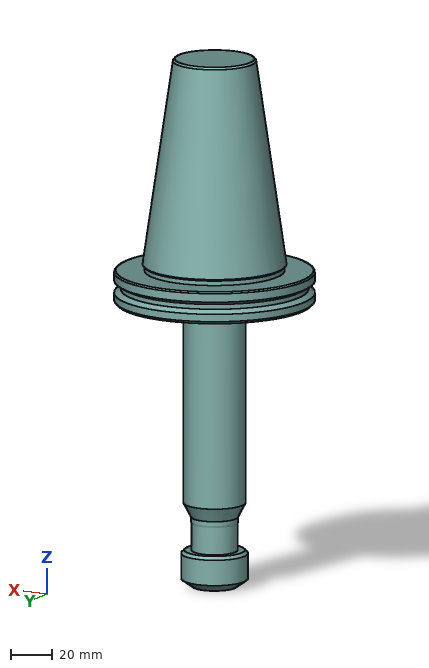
import cadquery as cq
import math

total_length = 261.8

gauge_radius = 34.95
taper_length = 101.8
taper_slope = 7 / 48
taper_tip_radius = gauge_radius - taper_length * taper_slope
tip_chamfer_height = 1.0
tip_chamfer_width = 0.8

relief_radius = 34.0
relief_height = 3.1
relief_chamfer = gauge_radius - relief_radius

flange_radius = 48.7
flange_thickness = 16.0
flange_top_chamfer = 0.8
flange_bottom_chamfer = 1.3
groove_radius = 45.5
groove_top_offset = 5.0
groove_bottom_offset = 11.0
groove_side_height = (flange_radius - groove_radius) * math.tan(math.radians(30))

shaft_radius = 15.2
shaft_bottom_z = 41.5
shaft_root_radius = 15.0
shaft_root_height = 1.0

collar_radius = 11.5
collar_bottom_z = 32.5
neck_radius = 11.3
neck_step_height = 1.0
cone_bottom_z = 34.5

head_radius = 16.2
head_top_z = 18.0
head_top_chamfer = 1.5
head_bottom_radius = 10.7
head_bottom_chamfer_height = 4.0

gauge_z = total_length - taper_length
flange_top_z = gauge_z - relief_height
flange_bottom_z = flange_top_z - flange_thickness
groove_top_z = flange_top_z - groove_top_offset
groove_bottom_z = flange_top_z - groove_bottom_offset

taper_profile = [
    (0, total_length),
    (taper_tip_radius - tip_chamfer_width, total_length),
    (taper_tip_radius + tip_chamfer_height * taper_slope, total_length - tip_chamfer_height),
    (gauge_radius, gauge_z),
    (relief_radius, gauge_z - relief_chamfer),
    (relief_radius, flange_top_z),
]

flange_profile = [
    (flange_radius - flange_top_chamfer, flange_top_z),
    (flange_radius, flange_top_z - flange_top_chamfer),
    (flange_radius, groove_top_z),
    (groove_radius, groove_top_z - groove_side_height),
    (groove_radius, groove_bottom_z + groove_side_height),
    (flange_radius, groove_bottom_z),
    (flange_radius, flange_bottom_z + flange_bottom_chamfer),
    (flange_radius - flange_bottom_chamfer, flange_bottom_z),
]

shaft_profile = [
    (shaft_root_radius, flange_bottom_z),
    (shaft_root_radius, flange_bottom_z - shaft_root_height),
    (shaft_radius, flange_bottom_z - shaft_root_height),
    (shaft_radius, shaft_bottom_z),
    (collar_radius, cone_bottom_z),
    (collar_radius, collar_bottom_z),
    (neck_radius, collar_bottom_z - neck_step_height),
    (neck_radius, head_top_z),
]

head_profile = [
    (head_radius - head_top_chamfer, head_top_z),
    (head_radius, head_top_z - head_top_chamfer),
    (head_radius, head_bottom_chamfer_height),
    (head_bottom_radius, 0),
    (0, 0),
]

outline = taper_profile + flange_profile + shaft_profile + head_profile
result = cq.Workplane("XZ").polyline(outline).close().revolve(360, (0, 0, 0), (0, 1, 0))